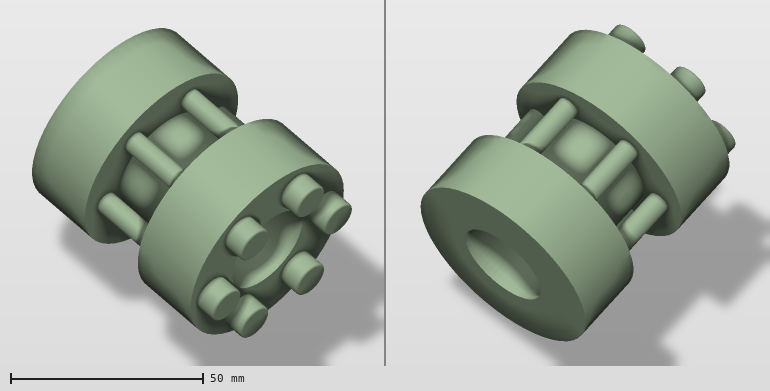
import cadquery as cq
import math

total_length = 66.0
head_height = 6.0
flange_diameter = 55.0
bore_diameter = 25.0
sleeve_end_diameter = 27.0
sleeve_collar_diameter = 30.0

bolt_count = 6
bolt_circle_diameter = 40.0
shank_diameter = 6.0
head_diameter = 10.0
head_fillet = 0.6

flange_thickness = (total_length - head_height) / 3
flange_gap = flange_thickness
stack_length = 2 * flange_thickness + flange_gap
head_flange_start = flange_thickness + flange_gap

shank_start = flange_thickness / 2


def cylinder_along_x(diameter, start, end, y=0, z=0):
    return (
        cq.Workplane("YZ", origin=(start, y, z))
        .circle(diameter / 2)
        .extrude(end - start)
    )


def bolt_positions():
    radius = bolt_circle_diameter / 2
    angles = [2 * math.pi * index / bolt_count for index in range(bolt_count)]
    return [(radius * math.cos(angle), radius * math.sin(angle)) for angle in angles]


def make_sleeve():
    """Tube through both flanges, with a collar that holds them apart."""
    tube = cylinder_along_x(sleeve_end_diameter, 0, stack_length)
    collar = cylinder_along_x(sleeve_collar_diameter, flange_thickness, head_flange_start)
    bore = cylinder_along_x(bore_diameter, 0, stack_length)
    return tube.union(collar).cut(bore)


def make_flange(start, bolt_hole_start):
    """Round flange with a sleeve bore and bolt holes that open on its far face."""
    end = start + flange_thickness
    flange = cylinder_along_x(flange_diameter, start, end)
    flange = flange.cut(cylinder_along_x(sleeve_end_diameter, start, end))
    for y, z in bolt_positions():
        flange = flange.cut(cylinder_along_x(shank_diameter, bolt_hole_start, end, y, z))
    return flange


def make_bolt(y, z):
    """Plain shank with a round head, rounded at its outer edge."""
    shank = cylinder_along_x(shank_diameter, shank_start, stack_length, y, z)
    head = cylinder_along_x(head_diameter, stack_length, total_length, y, z)
    head = head.faces(">X").edges().fillet(head_fillet)
    return shank.union(head)


sleeve = make_sleeve()
threaded_flange = make_flange(0, shank_start)
head_flange = make_flange(head_flange_start, head_flange_start)
bolts = [make_bolt(y, z) for y, z in bolt_positions()]

result = cq.Compound.makeCompound(
    [sleeve.val(), threaded_flange.val(), head_flange.val()]
    + [bolt.val() for bolt in bolts]
)